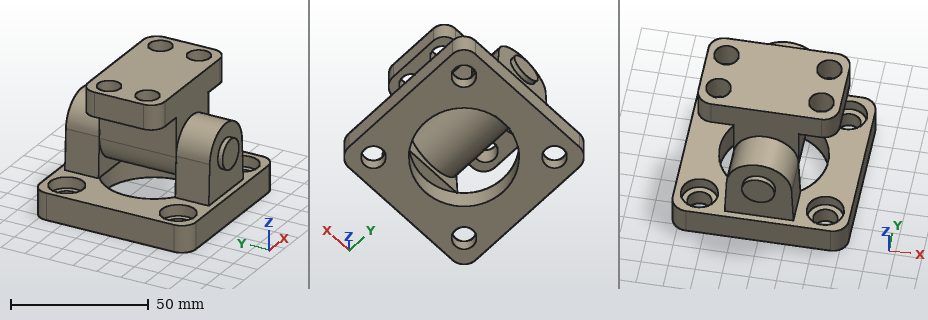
import cadquery as cq
import math

base_side = 65.0
base_height = 11.0
base_corner_radius = 5.85
mount_spacing = 46.5
screw_diameter = 9.0
counterbore_diameter = 13.5
counterbore_depth = 4.5
bore_diameter = 40.0

axis_height = 27.0
eye_diameter = 24.0
eye_length = 32.0
lug_foot_width = 25.4
lug_span = 60.0
pivot_diameter = 12.0
pivot_length = 63.95

total_height = 53.0
flange_length = 52.1
flange_width = eye_length
flange_thickness = 10.0
flange_corner_radius = 5.7
flange_hole_spacing_x = 37.95
flange_hole_spacing_y = 16.0

eye_radius = eye_diameter / 2
lug_thickness = (lug_span - eye_length) / 2
flange_bottom = total_height - flange_thickness


def rod_along_hinge(diameter, length):
    """Cylinder on the hinge axis, centred in Y."""
    return (
        cq.Workplane("XZ", origin=(0, length / 2, axis_height))
        .circle(diameter / 2)
        .extrude(length)
    )


def make_lug(center_y):
    """Round-topped ear whose flanks run tangent from the round top out to its wider foot."""
    foot = lug_foot_width / 2
    rise = axis_height - base_height
    tangent_angle = math.acos(eye_radius / math.hypot(foot, rise)) - math.atan2(rise, foot)
    tangent_x = eye_radius * math.cos(tangent_angle)
    tangent_z = axis_height + eye_radius * math.sin(tangent_angle)
    return (
        cq.Workplane("XZ", origin=(0, center_y + lug_thickness / 2, 0))
        .moveTo(-foot, base_height)
        .lineTo(foot, base_height)
        .lineTo(tangent_x, tangent_z)
        .threePointArc((0, axis_height + eye_radius), (-tangent_x, tangent_z))
        .close()
        .extrude(lug_thickness)
    )


def make_base():
    """Square plate with a central bore, four screw holes and two hinge lugs."""
    base = (
        cq.Workplane("XY")
        .rect(base_side, base_side)
        .extrude(base_height)
        .edges("|Z")
        .fillet(base_corner_radius)
    )
    base = (
        base.faces(">Z")
        .workplane(origin=(0, 0, base_height))
        .rect(mount_spacing, mount_spacing, forConstruction=True)
        .vertices()
        .cboreHole(screw_diameter, counterbore_diameter, counterbore_depth)
    )
    base = base.faces(">Z").workplane(origin=(0, 0, base_height)).hole(bore_diameter)
    lug_offset = (eye_length + lug_thickness) / 2
    for side in (-1, 1):
        base = base.union(make_lug(side * lug_offset))
    return base.cut(rod_along_hinge(pivot_diameter, pivot_length))


def make_swivel():
    """Drilled flange on a neck and eye, with a pivot journal at each end of the eye."""
    flange = (
        cq.Workplane("XY", origin=(0, 0, flange_bottom))
        .rect(flange_length, flange_width)
        .extrude(flange_thickness)
        .edges("|Z")
        .fillet(flange_corner_radius)
    )
    flange = (
        flange.faces(">Z")
        .workplane(origin=(0, 0, total_height))
        .rect(flange_hole_spacing_x, flange_hole_spacing_y, forConstruction=True)
        .vertices()
        .hole(screw_diameter)
    )
    neck = (
        cq.Workplane("XY", origin=(0, 0, axis_height))
        .rect(eye_diameter, eye_length)
        .extrude(flange_bottom - axis_height)
    )
    eye = rod_along_hinge(eye_diameter, eye_length)
    pivot = rod_along_hinge(pivot_diameter, pivot_length)
    return flange.union(neck).union(eye).union(pivot)


base = make_base()
swivel = make_swivel()
result = cq.Compound.makeCompound([base.val(), swivel.val()])